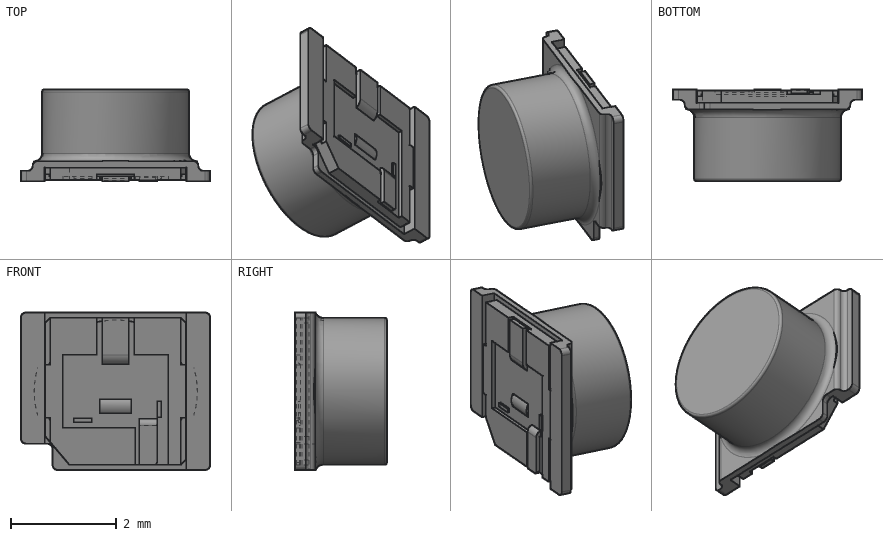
import cadquery as cq
import math


width = 3.6
height = 3.0
total_depth = 1.75
flange_depth = 0.2
base_depth = 0.38
step_half_width = 1.575
step_radius = (base_depth - flange_depth) / 2
corner_radius = 0.1
notch_width = 0.6
notch_height = 0.5
channel_half_width = 1.35
channel_depth = 0.26

barrel_radius = 1.4
barrel_edge_radius = 0.05
barrel_foot_radius = 0.15

insert_half_width = 1.34
insert_half_height = 1.4
insert_chamfer = 0.1
key_chamfer_x = 0.465
key_chamfer_z = 0.547
cover_front = 0.02
cover_back = 0.13
cover_half_width = 1.242
tab_half_height = 0.505
disc_radius = 1.36
disc_front = 0.097

window_half_width = 1.0
window_half_height = 0.69
slot_half_width = 0.353
outlet_left = 0.375

tongue_half_width = 0.255
tongue_bend_length = 0.175
pad_left = 0.45
pad_right = 0.792
pad_top = -0.648
pad_bend_length = 0.122
pad_gap = 0.018
pad_chamfer_x = 0.032
pad_chamfer_z = 0.045
bump_half_width = 0.3
bump_top = -0.155
bump_bottom = -0.42
bump_rise = 0.04
rib_rise = 0.035
rib_thickness = 0.075
flat_rib_left = -0.795
flat_rib_top = -0.515
flat_rib_length = 0.345
upright_rib_left = 0.795
upright_rib_top = -0.19
upright_rib_length = 0.305


def block(left, right, bottom, top, front, back):
    """Box given by its limits along X, Z and Y."""
    size = (right - left, back - front, top - bottom)
    return cq.Workplane("XY").box(*size, centered=False).translate((left, front, bottom))


def prism(points, front, back):
    """Closed X-Z outline extruded from front to back along Y."""
    outline = cq.Workplane("XZ", origin=(0, front, 0)).polyline(points).close()
    return outline.extrude(front - back)


def bent_strip(left, right, bend_start, bend_length, end):
    """Strip flat at Y = 0 that curves back to the disc beyond bend_start."""
    direction = math.copysign(1, bend_length)
    angle = 2 * math.atan(disc_front / abs(bend_length))
    radius = abs(bend_length) / math.sin(angle)
    middle = (
        radius * (1 - math.cos(angle / 2)),
        bend_start + direction * radius * math.sin(angle / 2),
    )
    profile = (
        cq.Workplane("YZ", origin=(left, 0, 0))
        .moveTo(0, end)
        .lineTo(0, bend_start)
        .threePointArc(middle, (disc_front, bend_start + bend_length))
        .lineTo(disc_front, end)
        .close()
    )
    return profile.extrude(right - left)


def plate_outline():
    """Full-depth outline: a rectangle with one lower corner notched away and all corners rounded."""
    left = -width / 2
    bottom = -height / 2
    points = [
        (left, height / 2),
        (width / 2, height / 2),
        (width / 2, bottom),
        (left + notch_width, bottom),
        (left + notch_width, bottom + notch_height),
        (left, bottom + notch_height),
    ]
    return prism(points, 0, total_depth).edges("|Y").fillet(corner_radius)


def base_section():
    """Stepped cross-section with rounded shoulders, extruded along Z."""
    shoulder = step_half_width - step_radius
    foot = step_half_width + step_radius
    middle_depth = flange_depth + step_radius
    section = (
        cq.Workplane("XY", origin=(0, 0, -height / 2))
        .moveTo(-width / 2, 0)
        .lineTo(width / 2, 0)
        .lineTo(width / 2, flange_depth)
        .lineTo(foot, flange_depth)
        .radiusArc((step_half_width, middle_depth), step_radius)
        .radiusArc((shoulder, base_depth), -step_radius)
        .lineTo(-shoulder, base_depth)
        .radiusArc((-step_half_width, middle_depth), -step_radius)
        .radiusArc((-foot, flange_depth), step_radius)
        .lineTo(-width / 2, flange_depth)
        .close()
    )
    return section.extrude(height)


def barrel():
    """Turned barrel with a rounded rear edge and a flared foot sunk into the base."""
    foot_outer = barrel_radius + barrel_foot_radius
    sunk_depth = flange_depth + step_radius
    edge_start = total_depth - barrel_edge_radius
    profile = (
        cq.Workplane("XY")
        .moveTo(0, sunk_depth)
        .lineTo(foot_outer, sunk_depth)
        .lineTo(foot_outer, base_depth)
        .radiusArc((barrel_radius, base_depth + barrel_foot_radius), barrel_foot_radius)
        .lineTo(barrel_radius, edge_start)
        .radiusArc((barrel_radius - barrel_edge_radius, total_depth), -barrel_edge_radius)
        .lineTo(0, total_depth)
        .close()
    )
    return profile.revolve(360, (0, 0, 0), (0, 1, 0))


def housing():
    """Base and barrel trimmed to the outline, with the front channel running the full height."""
    body = base_section().union(barrel()).intersect(plate_outline())
    channel = block(-channel_half_width, channel_half_width, -height / 2, height / 2, 0, channel_depth)
    return body.cut(channel)


def insert_outline(front, back):
    """Insert outline with three small chamfers and one large keying chamfer."""
    side = insert_half_width
    end = insert_half_height
    points = [
        (-side, end - insert_chamfer),
        (-side + insert_chamfer, end),
        (side - insert_chamfer, end),
        (side, end - insert_chamfer),
        (side, -end + insert_chamfer),
        (side - insert_chamfer, -end),
        (-side + key_chamfer_x, -end),
        (-side, -end + key_chamfer_z),
    ]
    return prism(points, front, back)


def cover():
    """Front cover with side tabs, a central window, an upper slot and a lower outlet."""
    end = insert_half_height
    shape = block(-cover_half_width, cover_half_width, -end, end, cover_front, cover_back)
    tabs = block(
        -insert_half_width, insert_half_width, -tab_half_height, tab_half_height, cover_front, cover_back
    )
    shape = shape.union(tabs).intersect(insert_outline(cover_front, cover_back))
    window = block(
        -window_half_width,
        window_half_width,
        -window_half_height,
        window_half_height,
        cover_front,
        disc_front,
    )
    slot = block(-slot_half_width, slot_half_width, window_half_height, end, cover_front, cover_back)
    outlet = block(outlet_left, window_half_width, -end, -window_half_height, cover_front, disc_front)
    return shape.cut(window).cut(slot).cut(outlet)


def insert():
    """Back plate, disc and cover stacked from the channel floor forward."""
    back_plate = insert_outline(cover_back, channel_depth)
    disc = cq.Workplane("XZ", origin=(0, disc_front, 0)).circle(disc_radius).extrude(disc_front - cover_back)
    disc = disc.intersect(insert_outline(disc_front, cover_back))
    return back_plate.union(disc).union(cover())


def tongue():
    """Upper contact lying in the slot, bent back at its lower end."""
    return bent_strip(
        -tongue_half_width, tongue_half_width, window_half_height, -tongue_bend_length, insert_half_height
    )


def pad():
    """Lower contact in the outlet: upper end bent back, flat part off the floor, one corner cut off."""
    strip = bent_strip(pad_left, pad_right, pad_top, pad_bend_length, -insert_half_height)
    corner = prism(
        [
            (pad_right, -insert_half_height),
            (pad_right, -insert_half_height + pad_chamfer_z),
            (pad_right - pad_chamfer_x, -insert_half_height),
        ],
        0,
        disc_front,
    )
    gap = block(pad_left, pad_right, -insert_half_height, pad_top, disc_front - pad_gap, disc_front)
    return strip.cut(corner).cut(gap)


def bump():
    """Shallow cylindrical bump across the middle of the disc."""
    profile = (
        cq.Workplane("YZ", origin=(-bump_half_width, 0, 0))
        .moveTo(disc_front, bump_bottom)
        .threePointArc((disc_front - bump_rise, (bump_top + bump_bottom) / 2), (disc_front, bump_top))
        .close()
    )
    return profile.extrude(2 * bump_half_width)


def rib(left, top, length_x, length_z):
    """Low rectangular rib on the disc."""
    return block(left, left + length_x, top - length_z, top, disc_front - rib_rise, disc_front)


result = (
    housing()
    .union(insert())
    .union(tongue())
    .union(pad())
    .union(bump())
    .union(rib(flat_rib_left, flat_rib_top, flat_rib_length, rib_thickness))
    .union(rib(upright_rib_left, upright_rib_top, rib_thickness, upright_rib_length))
)